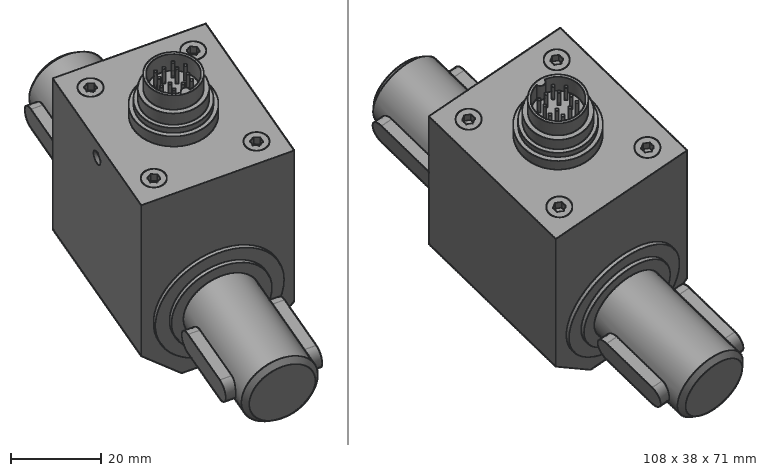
import cadquery as cq
import math

BLOCK_LENGTH = 44.0
BLOCK_WIDTH = 38.0
BLOCK_HEIGHT = 58.1
BLOCK_CHAMFER = 10.0

SHAFT_LENGTH = 108
SHAFT_DIAMETER = 19.0
SHAFT_CHAMFER = 1.3
SHAFT_HEIGHT = 19.2

FLANGE_DIAMETER = 32.0
COLLAR_DIAMETER = 25.0
COLLAR_THICKNESS = 1.0

KEY_LENGTH = 21.8
KEY_WIDTH = 6.0
KEY_SPAN = 24.0
KEY_END_DISTANCE = 4.1

CONNECTOR_STEPS = [(20.0, 3.2), (17.8, 1.6), (15.9, 3.6), (13.5, 4.5)]
SOCKET_DIAMETER = 12.2
SOCKET_DEPTH = 5.3
SOCKET_RIB_DIAMETER = 2.4
SOCKET_RIB_OFFSET = 6.2

PIN_DIAMETER = 0.77
PIN_HEIGHT = 4.6
PIN_PLACES = [(4.2, 45), (4.2, 115), (4.2, 155), (3.2, 15), (3.2, 75), (2.5, 135)]

SCREW_SPACING_X = 31.4
SCREW_SPACING_Y = 25.5
SCREW_HEAD_DIAMETER = 5.7
SCREW_BORE_DIAMETER = 5.8
SCREW_HEAD_HEIGHT = 3.2
SCREW_HEX_CORNERS = 2.9
SCREW_HEX_DEPTH = 2.2

DIMPLE_DIAMETER = 3.5
DIMPLE_DEPTH = 1.1
DIMPLE_BELOW_TOP = 5.1


def rod_along_x(diameter, length):
    """Cylinder on the shaft axis, centred on the block."""
    return (
        cq.Workplane("YZ", origin=(-length / 2, 0, SHAFT_HEIGHT))
        .circle(diameter / 2)
        .extrude(length)
    )


def make_block():
    return (
        cq.Workplane("XY")
        .box(BLOCK_LENGTH, BLOCK_WIDTH, BLOCK_HEIGHT, centered=(True, True, False))
        .edges("|X and <Z")
        .chamfer(BLOCK_CHAMFER)
    )


def make_shaft():
    shaft = rod_along_x(SHAFT_DIAMETER, SHAFT_LENGTH).faces("<X or >X").chamfer(SHAFT_CHAMFER)
    flange = rod_along_x(FLANGE_DIAMETER, BLOCK_LENGTH + 2 * COLLAR_THICKNESS)
    collar = rod_along_x(COLLAR_DIAMETER, BLOCK_LENGTH + 4 * COLLAR_THICKNESS)
    return shaft.union(flange).union(collar)


def make_keys():
    """One bar through each shaft end forms the pair of opposite keys."""
    key_x = SHAFT_LENGTH / 2 - KEY_END_DISTANCE - KEY_LENGTH / 2
    return (
        cq.Workplane("XZ", origin=(0, 0, SHAFT_HEIGHT))
        .pushPoints([(-key_x, 0), (key_x, 0)])
        .slot2D(KEY_LENGTH, KEY_WIDTH)
        .extrude(KEY_SPAN / 2, both=True)
    )


def make_connector():
    """Stepped body with an open socket, its locating rib and the contact pins."""
    connector = cq.Workplane("XY", origin=(0, 0, BLOCK_HEIGHT))
    for diameter, height in CONNECTOR_STEPS:
        connector = connector.circle(diameter / 2).extrude(height).faces(">Z").workplane()

    top = BLOCK_HEIGHT + sum(height for _, height in CONNECTOR_STEPS)
    floor = cq.Workplane("XY", origin=(0, 0, top - SOCKET_DEPTH))
    socket = floor.circle(SOCKET_DIAMETER / 2).extrude(SOCKET_DEPTH)
    rib = floor.center(SOCKET_RIB_OFFSET, 0).circle(SOCKET_RIB_DIAMETER / 2).extrude(SOCKET_DEPTH)
    connector = connector.cut(socket.cut(rib))

    pin_points = []
    for radius, angle in PIN_PLACES:
        x = radius * math.cos(math.radians(angle))
        y = radius * math.sin(math.radians(angle))
        pin_points += [(x, y), (-x, -y)]
    pins = floor.pushPoints(pin_points).circle(PIN_DIAMETER / 2).extrude(PIN_HEIGHT)
    return connector.union(pins)


def make_screw_cuts():
    """Clearance gap around each screw head, and the hexagon socket in it."""
    centres = cq.Workplane("XY", origin=(0, 0, BLOCK_HEIGHT)).rarray(
        SCREW_SPACING_X, SCREW_SPACING_Y, 2, 2
    )
    bores = centres.circle(SCREW_BORE_DIAMETER / 2).extrude(-SCREW_HEAD_HEIGHT)
    heads = centres.circle(SCREW_HEAD_DIAMETER / 2).extrude(-SCREW_HEAD_HEIGHT)
    hexagons = centres.polygon(6, SCREW_HEX_CORNERS).extrude(-SCREW_HEX_DEPTH)
    return bores.cut(heads).union(hexagons)


def make_dimple():
    mouth = cq.Vector(0, -BLOCK_WIDTH / 2, BLOCK_HEIGHT - DIMPLE_BELOW_TOP)
    cone = cq.Solid.makeCone(DIMPLE_DIAMETER / 2, 0, DIMPLE_DEPTH, mouth, cq.Vector(0, 1, 0))
    return cq.Workplane(cone)


result = (
    make_block()
    .union(make_shaft())
    .union(make_keys())
    .union(make_connector())
    .cut(make_screw_cuts())
    .cut(make_dimple())
)